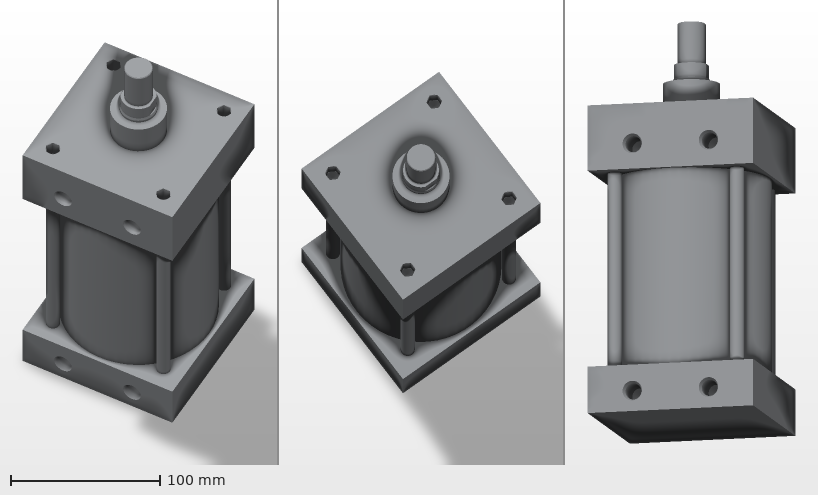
import cadquery as cq
import math

total_height = 273.0
square_side = 114.5
cap_height = 31.7
barrel_length = 133.5
head_height = 44.5
boss_height = 22.0
head_bottom = cap_height + barrel_length
head_top = head_bottom + head_height
boss_top = head_top + boss_height

barrel_diameter = 107.9
tie_spacing = 84.5
tie_diameter = 9.5
tie_head_diameter = 17.7
tie_head_height = 25.5

gland_diameter = 70.0
boss_diameter = 38.2

rod_diameter = 24.0
rod_lip_diameter = 25.5
rod_lip_height = 1.6
lip_cone_height = 1.6
thread_diameter = 19.0
thread_length = 28.5
thread_chamfer = 0.5
wrench_width = 22.0
collar_bottom = boss_top + rod_lip_height + lip_cone_height
collar_top = total_height - thread_length

port_spacing = 52.7
port_diameter = 11.0
port_mouth_diameter = 13.5
port_mouth_depth = 3.3
port_depth = 21.8
cap_port_height = 14.0
head_port_height = 182.5

socket_width = 9.0
socket_mouth_diameter = 9.8
socket_depth = 11.0
socket_sides = 6

drill_point_angle = 118.0


def cylinder(diameter, bottom, top):
    """Upright cylinder on the Z axis between two heights."""
    return cq.Workplane("XY").workplane(offset=bottom).circle(diameter / 2).extrude(top - bottom)


def square_plate(bottom, height):
    """Square end block with its bottom face at the given height."""
    return cq.Workplane("XY").workplane(offset=bottom).rect(square_side, square_side).extrude(height)


def cone(top_diameter, bottom_diameter, depth):
    """Tapered plug on the Z axis, narrowing downwards from the XY plane."""
    profile = (
        cq.Workplane("XZ")
        .lineTo(top_diameter / 2, 0)
        .lineTo(bottom_diameter / 2, -depth)
        .lineTo(0, -depth)
        .close()
    )
    return profile.revolve(360, (0, 0, 0), (0, 1, 0))


def drill_tip(diameter, depth):
    """Conical drill point whose base lies at the given depth below the XY plane."""
    radius = diameter / 2
    tip_length = radius / math.tan(math.radians(drill_point_angle / 2))
    profile = cq.Workplane("XZ").lineTo(radius, 0).lineTo(0, -tip_length).close()
    return profile.revolve(360, (0, 0, 0), (0, 1, 0)).translate((0, 0, -depth))


def port_cutter():
    """Blind hole down from the XY plane, with a tapered mouth and a drill point."""
    bore = cylinder(port_diameter, -port_depth, 0)
    mouth = cone(port_mouth_diameter, port_diameter, port_mouth_depth)
    return bore.union(mouth).union(drill_tip(port_diameter, port_depth))


def socket_cutter():
    """Hexagon socket down from the XY plane, corners along X, with a 45 degree mouth and a drill point."""
    across_corners = socket_width / math.cos(math.pi / socket_sides)
    mouth_depth = (socket_mouth_diameter - socket_width) / 2
    socket = cq.Workplane("XY").polygon(socket_sides, across_corners).extrude(-socket_depth)
    mouth = cone(socket_mouth_diameter, socket_width, mouth_depth)
    return socket.union(mouth).union(drill_tip(socket_width, socket_depth))


def cut_ports(block, height):
    """Cut the pair of ports into the -Y face of an end block."""
    cutter = port_cutter().rotate((0, 0, 0), (1, 0, 0), 90)
    for side in (-1, 1):
        block = block.cut(cutter.translate((side * port_spacing / 2, -square_side / 2, height)))
    return block


def tie_positions():
    """Centres of the four tie rods."""
    offset = tie_spacing / 2
    return [(x, y, 0) for x in (-offset, offset) for y in (-offset, offset)]


def tie_rod():
    """Tie rod on the Z axis, with a round head flush with the top of the head block."""
    shank = cylinder(tie_diameter, cap_height, head_top)
    return shank.union(cylinder(tie_head_diameter, head_top - tie_head_height, head_top))


def make_housing():
    """End cap, barrel and tie rods, with a hexagon socket in every tie rod head."""
    housing = square_plate(0, cap_height)
    housing = housing.union(cylinder(barrel_diameter, cap_height, head_bottom))
    housing = cut_ports(housing, cap_port_height)
    socketed_tie = tie_rod().cut(socket_cutter().translate((0, 0, head_top)))
    for position in tie_positions():
        housing = housing.union(socketed_tie.translate(position))
    return housing


def make_head():
    """Square head block with a bore for the gland and stepped holes for the tie rods."""
    head = square_plate(head_bottom, head_height)
    head = head.cut(cylinder(gland_diameter, head_bottom, head_top))
    for position in tie_positions():
        head = head.cut(tie_rod().translate(position))
    return cut_ports(head, head_port_height)


def make_rod():
    """Piston rod: wide shaft ending in a lip, collar with two wrench flats, threaded end."""
    lip_top = boss_top + rod_lip_height
    lip_radius = rod_lip_diameter / 2
    rod_radius = rod_diameter / 2
    thread_radius = thread_diameter / 2
    rod = (
        cq.Workplane("XZ")
        .moveTo(0, head_bottom)
        .lineTo(lip_radius, head_bottom)
        .lineTo(lip_radius, lip_top)
        .lineTo(rod_radius, collar_bottom)
        .lineTo(rod_radius, collar_top)
        .lineTo(thread_radius, collar_top)
        .lineTo(thread_radius, total_height - thread_chamfer)
        .lineTo(thread_radius - thread_chamfer, total_height)
        .lineTo(0, total_height)
        .close()
        .revolve(360, (0, 0, 0), (0, 1, 0))
    )
    flats = (
        cq.Workplane("XY")
        .workplane(offset=collar_bottom)
        .rect(2 * rod_diameter, 2 * rod_diameter)
        .rect(wrench_width, 2 * rod_diameter)
        .extrude(collar_top - collar_bottom)
    )
    return rod.cut(flats)


def make_gland():
    """Rod gland: a disc filling the head bore, with a boss on top and a bore for the rod."""
    gland = cylinder(gland_diameter, head_bottom, head_top)
    gland = gland.union(cylinder(boss_diameter, head_top, boss_top))
    return gland.cut(cylinder(rod_lip_diameter, head_bottom, boss_top))


housing = make_housing()
head = make_head()
gland = make_gland()
rod = make_rod()

result = cq.Compound.makeCompound([housing.val(), head.val(), gland.val(), rod.val()])